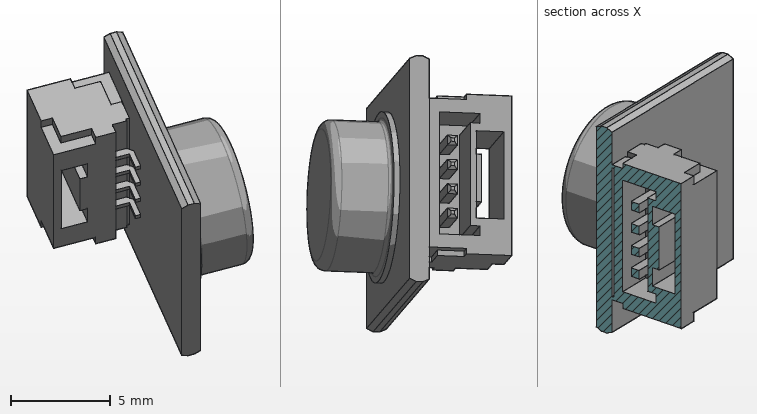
import cadquery as cq


board_x = 12.0
board_z = 11.6
board_thick = 1.01
edge_bevel_y = 0.34
edge_bevel_z = 0.15

can_x = 1.0
can_d = 7.6
can_height = 3.35
can_top_fillet = 0.48
flange_d = 8.6
flange_thick = 0.3
root_fillet = 0.19

housing_left = -5.2
housing_width = 4.08
housing_right = housing_left + housing_width
housing_front = -4.35
housing_z = 8.2
board_gap = 0.1

foot_right = -2.98
foot_thick = 0.2

left_recess_right = -2.93
left_recess_depth = 0.28
left_recess_leg = 0.66
left_recess_floor_y = -0.67
left_recess_y = -2.04
corner_recess_depth = 0.49
corner_recess_left = -3.04
corner_recess_leg = 0.62
corner_recess_rise = 0.6
corner_recess_y = -2.11

relief_left = -1.78
relief_shelf_y = -0.28
leg_left = -1.65
relief_floor_y = -1.05

cavity_depth = 3.0
cavity_z = 6.26
cavity_back_y = left_recess_floor_y
cavity_front_y = -2.23
keyway_front_y = -2.72
keyway_z = 0.49

window_z = 4.48
window_back_y = -2.55
window_front_y = -3.94
catch_inset = 0.79
catch_height = 0.41
catch_z = 2.45

pin_count = 4
pin_pitch = 1.25
pin_size = 0.5
pin_y = -1.45
pin_inset = 0.75
pin_tip_size = 0.18
pin_tip_length = 0.15
leg_z = 0.23
leg_thick = 0.4
foot_end = -0.32
foot_height = 0.28
bend_bevel = 0.28


def block(x0, x1, y0, y1, z0, z1):
    """Box between two opposite corners."""
    return cq.Workplane("XY").box(x1 - x0, y1 - y0, z1 - z0, centered=False).translate((x0, y0, z0))


def prism(points, z0, z1):
    """Outline in X and Y, extruded from z0 to z1."""
    return cq.Workplane("XY").workplane(offset=z0).polyline(points).close().extrude(z1 - z0)


def make_board():
    """Flat board, bevelled on both faces along its +Z and -Z edges."""
    half_z = board_z / 2
    side_z = half_z - edge_bevel_z
    outline = [
        (0, -side_z),
        (edge_bevel_y, -half_z),
        (board_thick - edge_bevel_y, -half_z),
        (board_thick, -side_z),
        (board_thick, side_z),
        (board_thick - edge_bevel_y, half_z),
        (edge_bevel_y, half_z),
        (0, side_z),
    ]
    return cq.Workplane("YZ").polyline(outline).close().extrude(board_x / 2, both=True)


def make_can():
    """Flanged round can, revolved about an axis along Y."""
    flange_face = board_thick + flange_thick
    top = board_thick + can_height
    can_r = can_d / 2
    flange_r = flange_d / 2
    half_section = (
        cq.Workplane("XY")
        .moveTo(0, board_thick)
        .lineTo(flange_r, board_thick)
        .lineTo(flange_r, flange_face)
        .lineTo(can_r + root_fillet, flange_face)
        .radiusArc((can_r, flange_face + root_fillet), root_fillet)
        .lineTo(can_r, top - can_top_fillet)
        .radiusArc((can_r - can_top_fillet, top), -can_top_fillet)
        .lineTo(0, top)
        .close()
    )
    return half_section.revolve(360, (0, 0, 0), (0, 1, 0)).translate((can_x, 0, 0))


def make_end_recesses():
    """Recesses at the +Z end: a shallow one on the board side, a deep one at the far corner."""
    end_z = housing_z / 2
    shallow = prism(
        [
            (housing_left, 0),
            (left_recess_right, 0),
            (left_recess_right, left_recess_floor_y),
            (housing_left + left_recess_leg, left_recess_floor_y),
            (housing_left + left_recess_leg, left_recess_y),
            (housing_left, left_recess_y),
        ],
        end_z - left_recess_depth,
        end_z,
    )
    deep = prism(
        [
            (housing_right, corner_recess_y),
            (housing_right - corner_recess_leg, corner_recess_y),
            (housing_right - corner_recess_leg, housing_front + corner_recess_rise),
            (corner_recess_left, housing_front + corner_recess_rise),
            (corner_recess_left, housing_front),
            (housing_right, housing_front),
        ],
        end_z - corner_recess_depth,
        end_z,
    )
    return shallow.union(deep)


def make_housing():
    """Housing on its feet, hollowed by the plug cavity and the latch window."""
    end_z = housing_z / 2
    outline = [
        (housing_left, -board_gap),
        (relief_left, -board_gap),
        (relief_left, relief_shelf_y),
        (leg_left, relief_shelf_y),
        (leg_left, relief_floor_y),
        (housing_right, relief_floor_y),
        (housing_right, housing_front),
        (housing_left, housing_front),
    ]
    housing = prism(outline, -end_z, end_z)

    foot_top = end_z - left_recess_depth
    foot = block(housing_left, foot_right, -board_gap, 0, foot_top - foot_thick, foot_top)
    recesses = make_end_recesses()
    housing = housing.union(foot).union(foot.mirror("XY"))
    housing = housing.cut(recesses).cut(recesses.mirror("XY"))

    cavity_end = housing_left + cavity_depth
    half_z = cavity_z / 2
    cavity = block(housing_left, cavity_end, cavity_front_y, cavity_back_y, -half_z, half_z)
    keyway = block(
        housing_left, cavity_end, keyway_front_y, cavity_front_y, half_z - keyway_z, half_z
    )
    cavity = cavity.union(keyway).union(keyway.mirror("XY"))

    window = block(
        housing_left, housing_right, window_front_y, window_back_y, -window_z / 2, window_z / 2
    )
    catch = block(
        housing_left + catch_inset,
        housing_right,
        window_back_y - catch_height,
        window_back_y,
        -catch_z / 2,
        catch_z / 2,
    )
    return housing.cut(cavity).cut(window.cut(catch))


def make_pin():
    """Square contact in the cavity with a tapered tip, and a flat leg bent onto the board."""
    base_x = housing_left + pin_inset
    wall_x = housing_left + cavity_depth
    half = pin_size / 2
    contact = block(base_x, wall_x, pin_y - half, pin_y + half, -half, half)
    tip = (
        cq.Workplane("YZ", origin=(base_x, pin_y, 0))
        .rect(pin_size, pin_size)
        .workplane(offset=-pin_tip_length)
        .rect(pin_tip_size, pin_tip_size)
        .loft(ruled=True)
    )
    leg = prism(
        [
            (leg_left, relief_floor_y),
            (leg_left, -bend_bevel),
            (leg_left + bend_bevel, 0),
            (foot_end, 0),
            (foot_end, -foot_height),
            (leg_left + leg_thick, -foot_height),
            (leg_left + leg_thick, relief_floor_y),
        ],
        -leg_z / 2,
        leg_z / 2,
    )
    return contact.union(tip).union(leg)


result = make_board().union(make_can()).union(make_housing())
pin = make_pin()
for index in range(pin_count):
    pin_z = (index - (pin_count - 1) / 2) * pin_pitch
    result = result.union(pin.translate((0, 0, pin_z)))